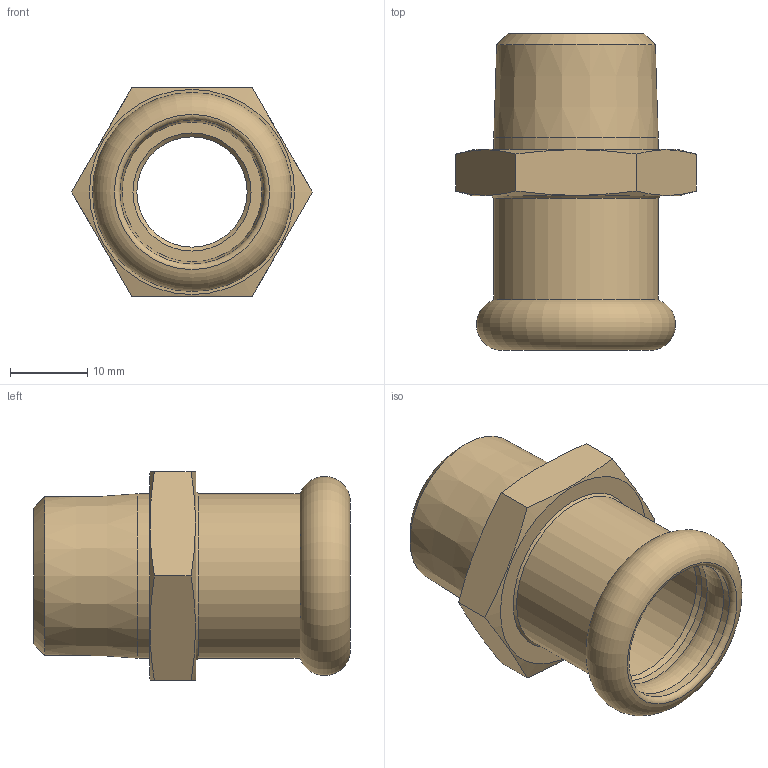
import cadquery as cq
import math

total_length = 41.0
bead_width = 6.5
bead_middle = bead_width / 2
hex_start = 20.0
hex_width = 6.0
hex_end = hex_start + hex_width
thread_start = 27.5
tip_chamfer_length = 1.4
thread_end = total_length - tip_chamfer_length

body_radius = 21.3 / 2
bead_radius = 12.9
tip_radius = 8.8
thread_taper = 1 / 32
thread_end_radius = body_radius - thread_taper * (thread_end - thread_start)
hex_root_bevel = 0.3

hex_across_flats = 27.0
hex_across_corners = hex_across_flats / math.cos(math.pi / 6)
hex_face_radius = 13.3
hex_chamfer_angle = math.radians(15)

bore_radius = 14.3 / 2
bore_chamfer = 0.5
socket_radius = 18.3 / 2
socket_depth = 20.0
lip_radius = 18.7 / 2
mouth_round = 0.7
mouth_radius = lip_radius + mouth_round

seal_crest_radius = 9.05
seal_width = 3.0
seal_start = bead_middle - seal_width / 2
seal_end = bead_middle + seal_width / 2

lead_in_start = 5.75
lead_in_end = bead_width


def revolve_about_y(profile):
    """Turn a closed XY half-profile about the pipe axis."""
    return profile.close().revolve(360, (0, 0, 0), (0, 1, 0))


def make_body():
    """Solid outside: bead, cylindrical body, tapered thread blank and chamfered tip."""
    profile = (
        cq.Workplane("XY")
        .moveTo(0, 0)
        .lineTo(mouth_radius, 0)
        .threePointArc((bead_radius, bead_middle), (body_radius, bead_width))
        .lineTo(body_radius, hex_start - hex_root_bevel)
        .lineTo(body_radius + hex_root_bevel, hex_start)
        .lineTo(body_radius, hex_start)
        .lineTo(body_radius, thread_start)
        .lineTo(thread_end_radius, thread_end)
        .lineTo(tip_radius, total_length)
        .lineTo(0, total_length)
    )
    return revolve_about_y(profile)


def make_hexagon():
    """Wrench hexagon with corners on the X axis and both faces chamfered by cones."""
    prism = (
        cq.Workplane("XZ", origin=(0, hex_end, 0))
        .polygon(6, hex_across_corners)
        .extrude(hex_width)
    )
    corner_radius = hex_across_corners / 2
    corner_drop = (corner_radius - hex_face_radius) * math.tan(hex_chamfer_angle)
    chamfer_envelope = (
        cq.Workplane("XY")
        .moveTo(0, hex_start)
        .lineTo(hex_face_radius, hex_start)
        .lineTo(corner_radius, hex_start + corner_drop)
        .lineTo(corner_radius, hex_end - corner_drop)
        .lineTo(hex_face_radius, hex_end)
        .lineTo(0, hex_end)
    )
    return prism.intersect(revolve_about_y(chamfer_envelope))


def make_bore():
    """Inside space: rounded mouth, seal ring bulge, lead-in cone, pipe socket and through bore."""
    round_mid = mouth_round * (1 - math.sqrt(0.5))
    profile = (
        cq.Workplane("XY")
        .moveTo(0, 0)
        .lineTo(mouth_radius, 0)
        .threePointArc((lip_radius + round_mid, round_mid), (lip_radius, mouth_round))
        .lineTo(lip_radius, seal_start)
        .threePointArc((seal_crest_radius, bead_middle), (lip_radius, seal_end))
        .lineTo(lip_radius, lead_in_start)
        .lineTo(socket_radius, lead_in_end)
        .lineTo(socket_radius, socket_depth)
        .lineTo(bore_radius + bore_chamfer, socket_depth)
        .lineTo(bore_radius, socket_depth + bore_chamfer)
        .lineTo(bore_radius, total_length)
        .lineTo(0, total_length)
    )
    return revolve_about_y(profile)


result = make_body().union(make_hexagon()).cut(make_bore())